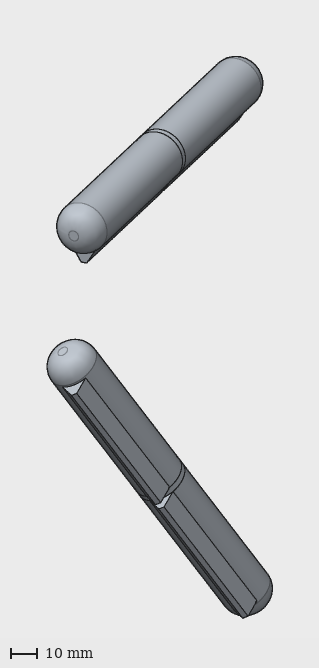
import cadquery as cq
import math


hinge_length = 150.0
barrel_diameter = 20.0
end_round_radius = 8.0
spacer_thickness = 2.5
fin_length = 65.0
fin_tip_width = 2.2
fin_tip_depth = 15.0
fin_flank_angle = 31.0

barrel_radius = barrel_diameter / 2
leaf_length = (hinge_length - spacer_thickness) / 2
leaf_start = spacer_thickness / 2


def cylinder_along_y(radius, start, length):
    """Solid cylinder on the hinge axis, from Y = start toward +Y."""
    return cq.Workplane("XZ", origin=(0, start, 0)).circle(radius).extrude(-length)


def make_fin():
    """Tapered welding fin whose root lies inside the barrel, at half the barrel radius."""
    root_depth = barrel_radius / 2
    tip_half_width = fin_tip_width / 2
    taper = (fin_tip_depth - root_depth) * math.tan(math.radians(fin_flank_angle))
    root_half_width = tip_half_width + taper
    outline = [
        (-root_half_width, -root_depth),
        (-tip_half_width, -fin_tip_depth),
        (tip_half_width, -fin_tip_depth),
        (root_half_width, -root_depth),
    ]
    return cq.Workplane("XZ", origin=(0, leaf_start, 0)).polyline(outline).close().extrude(-fin_length)


def make_leaf(turn):
    """Barrel with a rounded outer end and a fin, turned about Z by the given angle."""
    barrel = cylinder_along_y(barrel_radius, leaf_start, leaf_length)
    barrel = barrel.faces(">Y").edges().fillet(end_round_radius)
    return barrel.union(make_fin()).rotate((0, 0, 0), (0, 0, 1), turn)


def make_spacer():
    """Plain disc that fills the gap between the two leaves."""
    return cylinder_along_y(barrel_radius, -spacer_thickness / 2, spacer_thickness)


leaves = [make_leaf(turn).val() for turn in (0, 180)]
spacer = make_spacer()

result = cq.Compound.makeCompound([*leaves, spacer.val()])